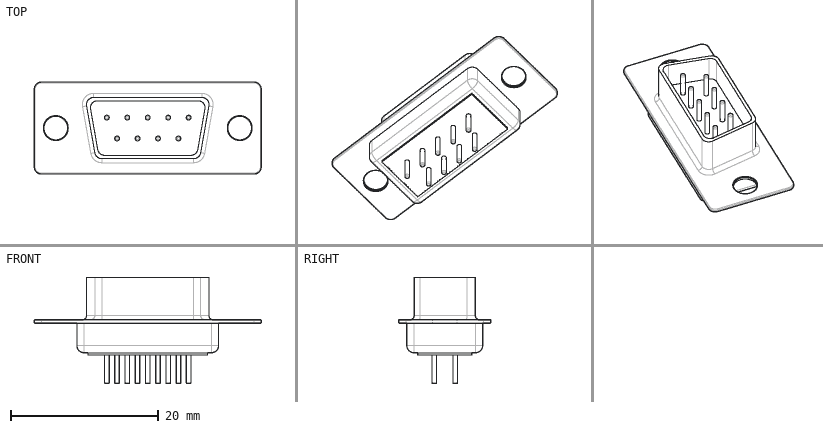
import cadquery as cq
import math


flange_length = 30.8
flange_width = 12.5
flange_thickness = 0.5
flange_corner_radius = 1.0
flange_edge_radius = 0.12
mount_hole_diameter = 3.2
mount_hole_spacing = 24.95
mount_hole_chamfer = 0.1

shell_height = 5.73
shell_width = 8.32
shell_wide_length = 17.0
shell_side_angle = 10.0
shell_corner_radius = 1.0
shell_wall = 0.45
pocket_corner_radius = 0.92
shell_base_radius = 0.55
pocket_depth = 3.82

body_length = 19.25
body_width = 10.32
body_height = 4.0
body_edge_radius = 1.0
plate_length = 16.25
plate_width = 7.35
plate_thickness = 0.3

pin_diameter = 0.65
pin_tip_radius = 0.15
pin_pitch = 2.77
pin_row_spacing = 2.83
wide_row_pins = 5
narrow_row_pins = 4
pin_tail = 3.88
pin_recess = 0.3

shell_top = flange_thickness + shell_height
plate_bottom = -body_height - plate_thickness
pin_bottom = plate_bottom - pin_tail
pin_top = shell_top - pin_recess


def d_prism(inset, corner_radius, z_bottom, z_top):
    """Trapezoid prism with rounded corners, its sides moved inward by inset."""
    slope = math.radians(shell_side_angle)
    half_width = shell_width / 2 - inset
    half_length_mid = (shell_wide_length - shell_width * math.tan(slope)) / 2 - inset / math.cos(slope)
    lean = half_width * math.tan(slope)
    wide = half_length_mid + lean
    narrow = half_length_mid - lean
    corners = [(-wide, half_width), (wide, half_width), (narrow, -half_width), (-narrow, -half_width)]
    prism = cq.Workplane("XY").workplane(offset=z_bottom).polyline(corners).close().extrude(z_top - z_bottom)
    return prism.edges("|Z").fillet(corner_radius)


def make_flange():
    flange = cq.Workplane("XY").box(
        flange_length, flange_width, flange_thickness, centered=(True, True, False)
    )
    flange = flange.edges("|Z").fillet(flange_corner_radius)
    return flange.faces("<Z or >Z").edges().fillet(flange_edge_radius)


def make_mount_holes():
    """Cutters for the two through holes, widened at both ends by the edge chamfers."""
    centers = [(-mount_hole_spacing / 2, 0), (mount_hole_spacing / 2, 0)]
    radius = mount_hole_diameter / 2
    wide_radius = radius + mount_hole_chamfer
    profile = [
        (0, 0),
        (wide_radius, 0),
        (radius, mount_hole_chamfer),
        (radius, flange_thickness - mount_hole_chamfer),
        (wide_radius, flange_thickness),
        (0, flange_thickness),
    ]
    cutter = cq.Workplane("XZ").polyline(profile).close().revolve(360, (0, 0), (0, 1))
    return cq.Workplane("XY").pushPoints(centers).eachpoint(lambda place: cutter.val().moved(place))


def make_body():
    body = cq.Workplane("XY").box(body_length, body_width, body_height, centered=(True, True, False))
    body = body.translate((0, 0, -body_height))
    body = body.edges("|Z").fillet(body_edge_radius)
    return body.faces("<Z").edges().fillet(body_edge_radius)


def make_plate():
    plate = cq.Workplane("XY").box(plate_length, plate_width, plate_thickness, centered=(True, True, False))
    return plate.translate((0, 0, plate_bottom))


def make_pins(count, y):
    """One row of pins centred on X = 0."""
    first_x = -(count - 1) * pin_pitch / 2
    centers = [(first_x + i * pin_pitch, y) for i in range(count)]
    pins = cq.Workplane("XY").workplane(offset=pin_bottom).pushPoints(centers)
    pins = pins.circle(pin_diameter / 2).extrude(pin_top - pin_bottom)
    return pins.faces("<Z or >Z").edges().fillet(pin_tip_radius)


selection_margin = 0.03
shell_foot = cq.selectors.BoxSelector(
    (-shell_wide_length / 2, -shell_width / 2 - selection_margin, flange_thickness - selection_margin),
    (shell_wide_length / 2, shell_width / 2 + selection_margin, flange_thickness + selection_margin),
    boundingbox=True,
)
result = make_flange().union(d_prism(0, shell_corner_radius, 0, shell_top))
result = result.edges(shell_foot).fillet(shell_base_radius)
result = result.cut(make_mount_holes())

result = result.union(make_body()).union(make_plate())

result = result.cut(d_prism(shell_wall, pocket_corner_radius, shell_top - pocket_depth, shell_top))
result = result.union(make_pins(wide_row_pins, pin_row_spacing / 2))
result = result.union(make_pins(narrow_row_pins, -pin_row_spacing / 2))